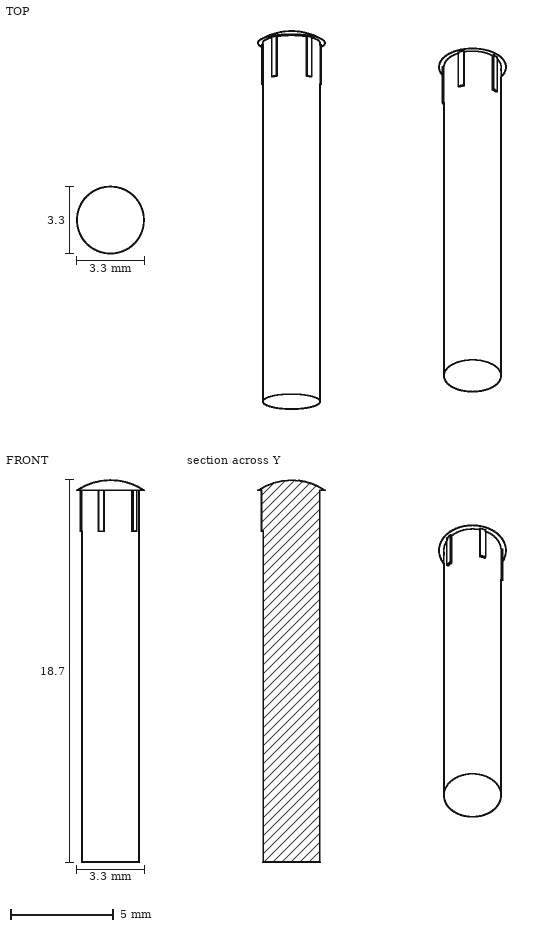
import cadquery as cq

total_length = 18.7
shank_diameter = 2.8

head_diameter = 3.3
head_height = 0.5

rib_count = 5
rib_width = 0.28
rib_length = 2.0
rib_outer_radius = 1.48
first_rib_angle = 180.0

head_radius = head_diameter / 2
shank_length = total_length - head_height
dome_radius = (head_radius**2 + head_height**2) / (2 * head_height)


def make_shank():
    return cq.Workplane("XY").circle(shank_diameter / 2).extrude(shank_length)


def make_head():
    """Spherical cap with a flat underside, resting on the shank."""
    dome_center_z = total_length - dome_radius
    arc_mid_x = head_radius / 2
    arc_mid_z = dome_center_z + (dome_radius**2 - arc_mid_x**2) ** 0.5
    return (
        cq.Workplane("XZ")
        .moveTo(0, shank_length)
        .lineTo(head_radius, shank_length)
        .threePointArc((arc_mid_x, arc_mid_z), (0, total_length))
        .close()
        .revolve(360, (0, 0, 0), (0, 1, 0))
    )


def make_rib(angle):
    """Straight rib running from the shank axis to just beyond its surface."""
    return (
        cq.Workplane("XY", origin=(0, 0, shank_length - rib_length))
        .center(rib_outer_radius / 2, 0)
        .rect(rib_outer_radius, rib_width)
        .extrude(rib_length)
        .rotate((0, 0, 0), (0, 0, 1), angle)
    )


result = make_shank().union(make_head())
for index in range(rib_count):
    result = result.union(make_rib(first_rib_angle + index * 360 / rib_count))